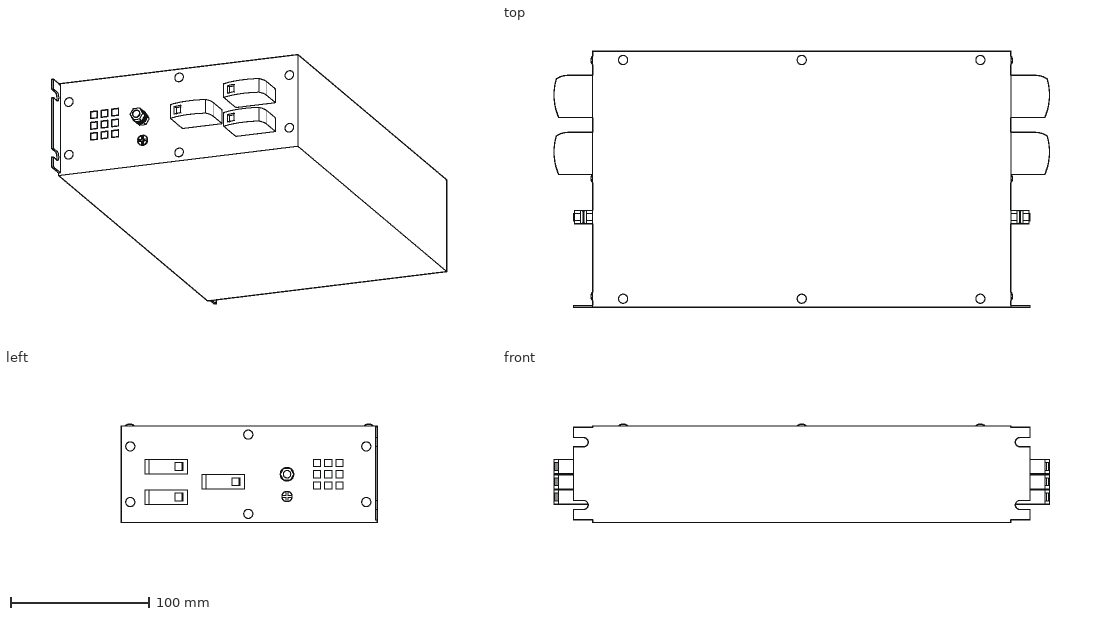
import cadquery as cq
import math

case_width = 302.0
case_depth = 185.05
case_height = 70.0
case_side = case_width / 2

overall_width = 358.06

tab_span = 330.0
tab_thickness = 1.5
tab_bottom = 2.0
tab_height = 67.0
tab_middle = tab_bottom + tab_height / 2
tab_slot_width = 6.5
tab_slot_length = 10.7
tab_slot_spacing = 45.3

head_radius = 3.3
head_height = 1.27
lid_screw_pitch = 129.0
lid_screw_inset = 6.3
end_screw_back_y = case_depth - 6.6
end_screw_front_y = 8.0
end_screw_middle_y = (end_screw_back_y + end_screw_front_y) / 2
end_corner_screw_spacing = 40.2
end_middle_screw_spacing = 57.2

handle_reach = overall_width / 2 - case_side
handle_width = 30.7
handle_thickness = 10.4
handle_level_pitch = 11.0
middle_handle_z = 29.5
outer_handle_back_y = case_depth - 17.3
inner_handle_back_y = case_depth - 58.5
nose_radius = 41.0
nose_crest = 14.2
nose_start = 2.7
shoulder_reach = 17.8
window_middle = 24.5
window_width = 5.8
window_height = 5.6
window_depth = 3.0

fitting_y = case_depth - 119.8
fitting_z = case_height / 2
hex_corner_diameter = 9.8
hex_length = 4.5
ring_radius = 4.9
groove_radius = 4.2
ring_length = 1.6
groove_length = 1.0
fitting_tip_radius = 2.7
fitting_length = 14.0

stud_z = 18.9
stud_radius = 3.75
stud_height = 1.0
stud_slot_width = 1.2
stud_slot_depth = 0.6

grid_y = case_depth - 149.6
grid_z = case_height / 2
grid_count = 3
grid_pitch = 8.2
grid_square = 5.2
grid_depth = 1.0


def left_end(y, z, out=0.0):
    """Workplane facing -X, at a distance out from the left end of the case.

    Local x runs towards -Y and local y runs up.
    """
    return cq.Workplane(cq.Plane(origin=(-case_side - out, y, z), xDir=(0, -1, 0), normal=(-1, 0, 0)))


def screw_head():
    """Dome with its base on the XY plane and its axis along +Z."""
    dome_radius = (head_radius**2 + head_height**2) / (2 * head_height)
    half_angle = math.asin(head_radius / dome_radius) / 2
    arc_middle = (
        dome_radius * math.sin(half_angle),
        head_height - dome_radius * (1 - math.cos(half_angle)),
    )
    return (
        cq.Workplane("XZ")
        .lineTo(head_radius, 0)
        .threePointArc(arc_middle, (0, head_height))
        .close()
        .revolve(360, (0, 0), (0, 1))
    )


def nose_reach(distance):
    """Reach of the curved nose at a distance from the back edge of the handle."""
    return handle_reach - nose_radius + math.sqrt(nose_radius**2 - (distance - nose_crest) ** 2)


def nose_point(distance):
    return (-nose_reach(distance), -distance)


def shoulder_arc_middle():
    """Middle of the shoulder arc, which leaves the straight back edge tangentially."""
    run = nose_reach(nose_start) - shoulder_reach
    shoulder_radius = (run**2 + nose_start**2) / (2 * nose_start)
    half_angle = math.asin(run / shoulder_radius) / 2
    return (
        -shoulder_reach - shoulder_radius * math.sin(half_angle),
        -shoulder_radius * (1 - math.cos(half_angle)),
    )


def handle(back_y, middle_z):
    """Handle with a curved nose and a small window recessed square to the nose."""
    body = (
        cq.Workplane("XY", origin=(-case_side, back_y, middle_z - handle_thickness / 2))
        .lineTo(-shoulder_reach, 0)
        .threePointArc(shoulder_arc_middle(), nose_point(nose_start))
        .threePointArc(nose_point(nose_crest), nose_point(handle_width))
        .lineTo(0, -handle_width)
        .close()
        .extrude(handle_thickness)
    )
    tilt = math.degrees(math.asin((window_middle - nose_crest) / nose_radius))
    window_x, window_y = nose_point(window_middle)
    window = (
        cq.Workplane("XY")
        .box(2 * window_depth, window_width, window_height)
        .rotate((0, 0, 0), (0, 0, 1), tilt)
        .translate((window_x - case_side, window_y + back_y, middle_z))
    )
    return body.cut(window)


def cable_fitting():
    """Two hexagons with a grooved collar between them and a round tip."""
    collar_length = 2 * ring_length + groove_length
    outer_hex_start = hex_length + collar_length
    core = left_end(fitting_y, fitting_z).circle(groove_radius).extrude(outer_hex_start)
    tip = left_end(fitting_y, fitting_z).circle(fitting_tip_radius).extrude(fitting_length)
    fitting = core.union(tip)
    for start in (0, outer_hex_start):
        hexagon = left_end(fitting_y, fitting_z, start).polygon(6, hex_corner_diameter).extrude(hex_length)
        fitting = fitting.union(hexagon)
    for start in (hex_length, outer_hex_start - ring_length):
        ring = left_end(fitting_y, fitting_z, start).circle(ring_radius).extrude(ring_length)
        fitting = fitting.union(ring)
    return fitting


def cross_stud():
    """Low round head with two crossed slots."""
    stud = left_end(fitting_y, stud_z).circle(stud_radius).extrude(stud_height)
    slot_length = 2 * stud_radius
    for width, height in ((slot_length, stud_slot_width), (stud_slot_width, slot_length)):
        slot = left_end(fitting_y, stud_z, stud_height).rect(width, height).extrude(-stud_slot_depth)
        stud = stud.cut(slot)
    return stud


def tab_plate():
    """Plate across the front, with open slots at both ends."""
    plate = cq.Workplane("XY").box(tab_span, tab_thickness, tab_height).translate(
        (0, tab_thickness / 2, tab_middle)
    )
    slots = (
        cq.Workplane("XZ", origin=(0, 0, tab_middle))
        .rarray(tab_span, tab_slot_spacing, 2, 2)
        .slot2D(2 * tab_slot_length, tab_slot_width)
        .extrude(-tab_thickness)
    )
    return plate.cut(slots)


def end_screws():
    """Screw heads on the left end: three columns of two."""
    columns = (
        (end_screw_back_y, end_corner_screw_spacing),
        (end_screw_middle_y, end_middle_screw_spacing),
        (end_screw_front_y, end_corner_screw_spacing),
    )
    head = screw_head().rotate((0, 0, 0), (0, 1, 0), -90)
    heads = []
    for y, spacing in columns:
        for side in (-1, 1):
            heads.append(head.translate((-case_side, y, case_height / 2 + side * spacing / 2)))
    return heads


def lid_screws():
    """Screw heads on the lid: two rows of three."""
    heads = []
    for column in (-1, 0, 1):
        for y in (lid_screw_inset, case_depth - lid_screw_inset):
            heads.append(screw_head().translate((column * lid_screw_pitch, y, case_height)))
    return heads


def mirrored(shape):
    """The same feature on the right end of the case."""
    return shape.mirror("YZ")


left_end_features = end_screws() + [
    handle(outer_handle_back_y, middle_handle_z + handle_level_pitch),
    handle(inner_handle_back_y, middle_handle_z),
    handle(outer_handle_back_y, middle_handle_z - handle_level_pitch),
    cable_fitting(),
    cross_stud(),
]

result = cq.Workplane("XY").box(case_width, case_depth, case_height).translate(
    (0, case_depth / 2, case_height / 2)
)
result = result.union(tab_plate())

for feature in left_end_features:
    result = result.union(feature).union(mirrored(feature))

for feature in lid_screws():
    result = result.union(feature)

recesses = (
    left_end(grid_y, grid_z)
    .rarray(grid_pitch, grid_pitch, grid_count, grid_count)
    .rect(grid_square, grid_square)
    .extrude(-grid_depth)
)
result = result.cut(recesses).cut(mirrored(recesses))